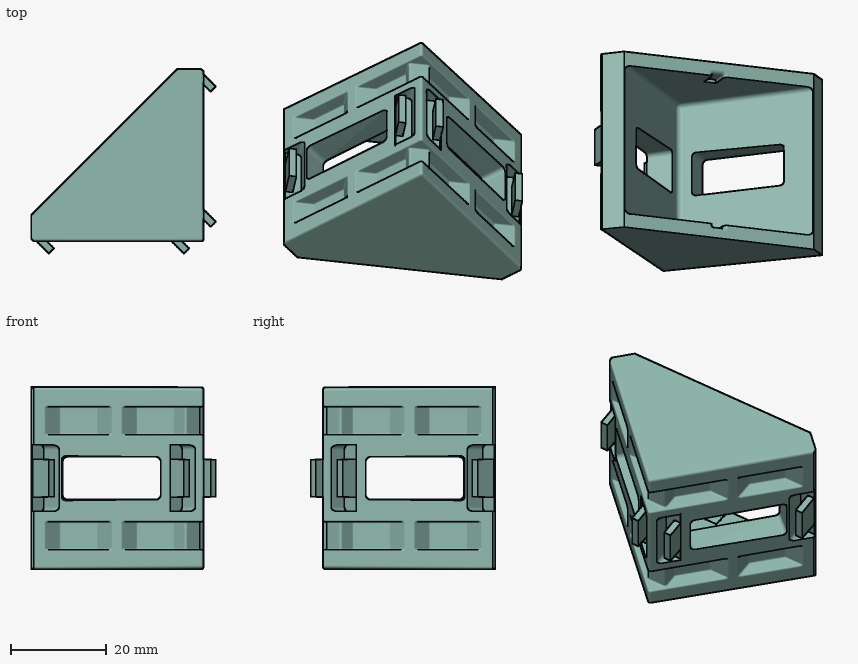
import cadquery as cq
import math


overall = 38.52
leg = 35.98
height = 38.0
foot = 5.5
outer_draft = 0.5
edge_radius = 0.58
foot_chamfer = 0.58

wall = 5.62
cavity_height = 32.05
cavity_draft = 1.7
cavity_radius = 1.0

recess_width = 2.7
recess_height = 33.2
recess_depth = 4.62
recess_mouth_radius = 0.9
recess_corner_radius = 0.4

window_near = 8.98
window_far = 29.62
window_height = 8.85
window_draft = 2.5
window_radius = 1.0

pocket_depth = 3.12
pocket_low = 9.05
pocket_high = 14.9
pocket_radius = 0.35
end_pocket_near = 19.1
end_pocket_far = 33.1
corner_pocket_far = 17.05
post_width = 4.43
post_setback = 3.1
post_radius = 0.5

tab_reach = overall - leg
tab_thickness = 1.55
tab_root_height = 8.0
tab_tip_height = 7.7
tab_embed = 0.2
notch_height = 13.85
notch_radius = 1.0
snap_places = [
    (35.7, 30.12, 3.2, 32.28),
    (6.95, 1.75, 2.77, 4.12),
]

root2 = math.sqrt(2)
slope_depth = (leg + foot) / root2
small = 0.05
overshoot = 1.93

diagonal = cq.Plane(origin=(0, 0, 0), xDir=(1, -1, 0), normal=(1, 1, 0))
slope_center = (-slope_depth / root2, slope_depth / root2, 0)
sloping_face = cq.Plane(origin=slope_center, xDir=(1, 1, 0), normal=(1, -1, 0))


def mirrored(shape):
    """The same shape on the other leg."""
    return shape.mirror("XY").rotate((0, 0, 0), (1, -1, 0), 180)


def on_both_legs(shape):
    return shape.union(mirrored(shape))


def both_halves(shape):
    return shape.union(shape.mirror("XY"))


def box_around(center, half_x, half_y, half_z):
    """Selector for edges centered near a point."""
    x, y, z = center
    low = (x - half_x, y - half_y, z - half_z)
    high = (x + half_x, y + half_y, z + half_z)
    return cq.selectors.BoxSelector(low, high)


def upper_prism(points):
    """Plan outline extruded over the height of the upper pockets."""
    blank = cq.Workplane("XY", origin=(0, 0, pocket_low)).polyline(points).close()
    return blank.extrude(pocket_high - pocket_low)


def prism(points, total_height):
    """Plan outline extruded evenly about mid height."""
    return cq.Workplane("XY").polyline(points).close().extrude(total_height / 2, both=True)


def drafted(points, face_height, draft):
    """Prism that is face_height tall at the sloping face and narrows toward the corner edge."""
    slope = math.tan(math.radians(draft))
    start = -slope_depth - overshoot
    half_start = face_height / 2 + overshoot * slope
    half_end = face_height / 2 - slope_depth * slope
    wedge = (
        cq.Workplane(diagonal)
        .polyline([(start, -half_start), (0, -half_end), (0, half_end), (start, half_start)])
        .close()
        .extrude(2 * leg, both=True)
    )
    return prism(points, 2 * height).intersect(wedge)


def make_body():
    outline = [(0, 0), (0, leg), (-foot, leg), (-leg, foot), (-leg, 0)]
    body = drafted(outline, height, outer_draft)
    foot_edges = box_around((-leg, 0, 0), small, small, small) + box_around((0, leg, 0), small, small, small)
    body = body.edges(foot_edges).chamfer(foot_chamfer)
    return body.faces(">X or <Y").edges("(not |Z) or (>X and <Y)").fillet(edge_radius)


def cut_recesses(body):
    recess = cq.Workplane(sloping_face).rect(recess_width, recess_height).extrude(recess_depth)
    body = body.cut(recess.edges("|(1,-1,0)").fillet(recess_corner_radius))
    mouth = box_around(slope_center, recess_width, recess_width, height / 2 - edge_radius)
    return body.faces("<(1,-1,0)").edges(mouth).fillet(recess_mouth_radius)


def make_cavity():
    reach = leg + foot
    outline = [(-wall, wall), (-wall, reach), (-reach, reach), (-reach, wall)]
    cavity = drafted(outline, cavity_height, cavity_draft)
    return cavity.edges("not(<X or >Y)").fillet(cavity_radius)


def make_window():
    """Window drafted toward both mouths.

    The drafts meet on a crease from the inner far end to the outer near end, so the window
    widens toward the outer face at its far end and toward the cavity at its near end.
    """
    slope = math.tan(math.radians(window_draft))
    shift = wall * slope
    outline = [
        (-window_far, 0),
        (-window_near, 0),
        (-window_near + shift, wall),
        (-window_far + shift, wall),
    ]
    crease_run = window_far - shift - window_near
    crease = cq.Plane(
        origin=(-window_near, 0, 0),
        xDir=(wall, crease_run, 0),
        normal=(crease_run, -wall, 0),
    )
    half = window_height / 2
    reach = 2 * wall
    half_wide = half + reach * slope
    upper = [(-reach, half_wide), (0, half), (reach, half_wide)]
    lower = [(x, -z) for x, z in reversed(upper)]
    drafts = cq.Workplane(crease).polyline(upper + lower).close().extrude(leg, both=True)
    ends = box_around((-window_near + shift / 2, wall / 2, 0), shift, small, height)
    ends += box_around((-window_far + shift / 2, wall / 2, 0), shift, small, height)
    return prism(outline, height).intersect(drafts).edges(ends).fillet(window_radius)


def make_end_pocket():
    far = -end_pocket_far
    near = -end_pocket_near
    outline = [
        (far - overshoot, -overshoot),
        (far + pocket_depth, pocket_depth),
        (near - pocket_depth, pocket_depth),
        (near + overshoot, -overshoot),
    ]
    return upper_prism(outline).faces("not <Y").edges("not <Y").fillet(pocket_radius)


def make_corner_pocket():
    flank = post_width / root2
    face = post_setback * root2
    post_far = (face + flank) / 2
    post_near = (face - flank) / 2
    leg_side = [
        (-corner_pocket_far - overshoot, -overshoot),
        (-corner_pocket_far + pocket_depth, pocket_depth),
        (-flank - pocket_depth, pocket_depth),
        (-post_far, post_near),
    ]
    other_side = [(-y, -x) for x, y in reversed(leg_side)]
    pocket = upper_prism(leg_side + other_side + [(overshoot, -overshoot)])
    for x, y in [(-post_far, post_near), (-post_near, post_far)]:
        post_edge = box_around((x, y, 0), small, small, height)
        pocket = pocket.edges(post_edge).fillet(post_radius)
    inside = cq.selectors.BoxSelector((-leg, small, 0), (-small, leg, height))
    return pocket.edges(inside).fillet(pocket_radius)


def round_pocket_mouths(body):
    """Round the pocket edges on both outer faces, around the corner edge too."""
    leg_end = leg - edge_radius - small
    around_corner = edge_radius / 2
    low = pocket_low - small
    high = pocket_high + small
    for bottom, top in [(low, high), (-high, -low)]:
        first_leg = cq.selectors.BoxSelector((-leg_end, -small, bottom), (small, around_corner, top))
        second_leg = cq.selectors.BoxSelector((-around_corner, -small, bottom), (small, leg_end, top))
        body = body.edges(first_leg + second_leg).fillet(pocket_radius)
    return body


def make_notch(far, near, depth):
    """Notch with a near wall and a floor at 45 degrees to the outer face."""
    floor = near + 2 * depth
    outline = [
        (-far, -overshoot),
        (-far, floor - far),
        (-near - depth, depth),
        (-near + overshoot, -overshoot),
    ]
    middle = (depth - overshoot) / 2
    near_wall = box_around((-near - middle, middle, 0), small, small, height)
    return prism(outline, notch_height).edges(near_wall).fillet(notch_radius)


def make_tab(near, depth, tip):
    """Slightly tapered tab standing square on the sloping notch floor."""
    floor = near + 2 * depth
    length = (floor - tip + tab_reach) / root2 + tab_embed
    back = length / root2
    side = tab_thickness / 2 / root2
    root_plane = cq.Plane(
        origin=(-tip - back + side, -tab_reach + back + side, 0), xDir=(1, 1, 0), normal=(1, -1, 0)
    )
    return (
        cq.Workplane(root_plane)
        .rect(tab_thickness, tab_root_height)
        .workplane(offset=length)
        .rect(tab_thickness, tab_tip_height)
        .loft()
    )


body = cut_recesses(make_body())
body = body.cut(make_cavity())
body = body.cut(on_both_legs(both_halves(make_end_pocket())))
body = body.cut(both_halves(make_corner_pocket()))
body = round_pocket_mouths(body)
body = body.cut(on_both_legs(make_window()))
for far, near, depth, tip in snap_places:
    body = body.cut(on_both_legs(make_notch(far, near, depth)))
    body = body.union(on_both_legs(make_tab(near, depth, tip)))
result = body